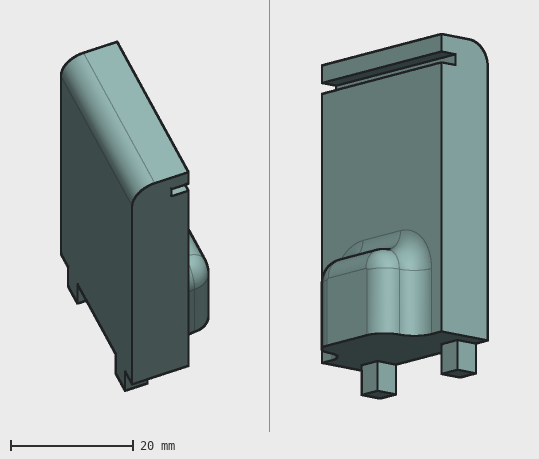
import cadquery as cq
import math

width = 30.0
total_height = 55.0
tab_height = 5.0
body_height = total_height - tab_height
body_depth = 10.0
front_round = 4.0

tab_size = 4.0
tab_spacing = 20.0

slot_depth = 3.0
slot_height = 1.8
slot_drop = 2.95

boss_width = 17.5
boss_height = 15.0
boss_projection = 7.5
boss_corner = 4.0
boss_blend = boss_projection / 2

corner_x = boss_width / 2 - boss_corner
corner_z = boss_height - boss_corner


def make_body():
    """Plate standing on Z = 0 with its front face at Y = 0."""
    body = cq.Workplane("XY").box(width, body_depth, body_height, centered=(True, False, False))
    return body.faces("<Y").edges(">Z").fillet(front_round)


def make_slot():
    """Groove across the full width of the back face."""
    slot = cq.Workplane("XY").box(width, slot_depth, slot_height, centered=(True, False, False))
    return slot.translate((0, body_depth - slot_depth, body_height - slot_drop - slot_height))


def make_tab(side):
    """Square tab hanging from the front of the body; side is -1 or 1."""
    tab_x = side * tab_spacing / 2
    tab = cq.Workplane("XY").box(tab_size, tab_size, tab_height, centered=(True, False, False))
    return tab.translate((tab_x, 0, -tab_height))


def edge_profile(plane):
    """S-shaped edge section: local x runs outward from the corner axis, local y runs along Y."""
    base = body_depth
    middle = base + boss_blend
    tip = base + boss_projection
    foot = boss_corner + boss_blend
    diagonal = boss_blend * math.sqrt(0.5)
    return (
        cq.Workplane(plane)
        .moveTo(0, base)
        .lineTo(foot, base)
        .threePointArc((foot - diagonal, middle - diagonal), (boss_corner, middle))
        .threePointArc(
            (boss_corner - boss_blend + diagonal, middle + diagonal),
            (boss_corner - boss_blend, tip),
        )
        .lineTo(0, tip)
        .close()
    )


def make_boss():
    """Rounded pad on the back face, with its edges flaring into the plate."""
    core = cq.Workplane("XY").box(
        2 * corner_x, boss_projection, corner_z, centered=(True, False, False)
    )
    boss = core.translate((0, body_depth, 0))

    top_plane = cq.Plane(origin=(corner_x, 0, corner_z), xDir=(0, 0, 1), normal=(-1, 0, 0))
    boss = boss.union(edge_profile(top_plane).extrude(2 * corner_x))

    side_plane = cq.Plane(origin=(corner_x, 0, 0), xDir=(1, 0, 0), normal=(0, 0, 1))
    side_edge = edge_profile(side_plane).extrude(corner_z)
    corner_plane = cq.Plane(origin=(corner_x, 0, corner_z), xDir=(1, 0, 0), normal=(0, 0, 1))
    corner = edge_profile(corner_plane).revolve(90, (0, 0, 0), (0, -1, 0))
    for edge in (side_edge, corner):
        boss = boss.union(edge).union(edge.mirror("YZ"))
    return boss


result = make_body().cut(make_slot()).union(make_boss())
for tab_side in (-1, 1):
    result = result.union(make_tab(tab_side))